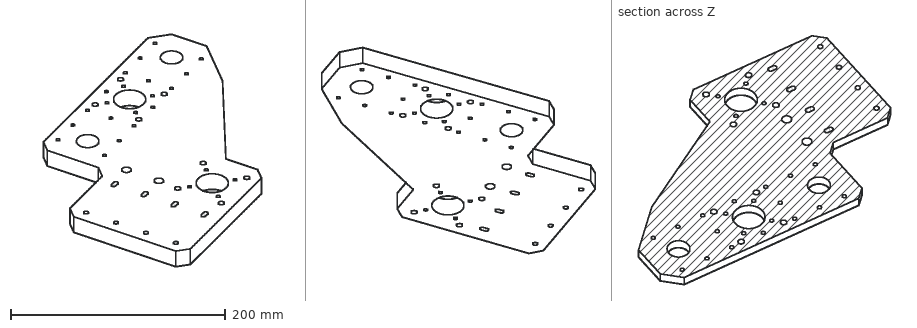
import cadquery as cq

SIDES = (-1, 1)

length_x = 205.0
length_y = 300.0
thickness = 18.0

corner_chamfer = 10.0
top_left_chamfer = 16.1
arm_left_x = 75.0
step_y = 80.0
shoulder_y = 152.0
shoulder_x = 160.9
top_edge_right_x = 54.0
top_right_chamfer = 41.2

left_center = (35.0, 189.7)
bearing_bore_diameter = 21.0
bearing_bore_offset = 77.9

screw_diameter = 3.4
screw_half_spacing_x = 25.0
screw_inner_offset_y = 34.9
screw_pitch_y = 27.5
screw_rows_beyond_motor = 3

right_center = (169.4, left_center[1] - bearing_bore_offset)
motor_bore_diameter = 30.0
motor_inner_pitch = 31.0
motor_inner_diameter = 3.4
motor_outer_pitch = 47.14
motor_outer_diameter = 5.6

pair_diameter = 8.8
pair_first_x = 89.5
pair_count = 2
pair_pitch = 35.0
pair_y = 90.0

mount_count = 4
mount_pitch = 32.3
mount_first_x = (arm_left_x + length_x - (mount_count - 1) * mount_pitch) / 2
mount_diameter = 4.5
mount_hole_y = 11.6
slot_y = 64.7
slot_length = 8.5
slot_angle = 90.0


def make_plate():
    """Stepped plate outline, counterclockwise from the lower left of the arm."""
    c = corner_chamfer
    outline = [
        (arm_left_x + c, 0),
        (length_x - c, 0),
        (length_x, c),
        (length_x, shoulder_y - c),
        (length_x - c, shoulder_y),
        (shoulder_x, shoulder_y),
        (top_edge_right_x + top_right_chamfer, length_y - top_right_chamfer),
        (top_edge_right_x, length_y),
        (top_left_chamfer, length_y),
        (0, length_y - top_left_chamfer),
        (0, step_y + c),
        (c, step_y),
        (arm_left_x - c, step_y),
        (arm_left_x, step_y - c),
        (arm_left_x, c),
    ]
    return cq.Workplane("XY").polyline(outline).close().extrude(thickness)


def drill(points, diameter):
    """Through-hole cutters at the given points."""
    return cq.Workplane("XY").pushPoints(points).circle(diameter / 2).extrude(thickness)


def square_points(center, pitch):
    """Corners of a square of holes around a center."""
    half = pitch / 2
    return [(center[0] + sx * half, center[1] + sy * half) for sx in SIDES for sy in SIDES]


def cut_motor_mount(plate, center):
    plate = plate.cut(drill([center], motor_bore_diameter))
    plate = plate.cut(drill(square_points(center, motor_inner_pitch), motor_inner_diameter))
    return plate.cut(drill(square_points(center, motor_outer_pitch), motor_outer_diameter))


def cut_bearing_bores(plate):
    x, y = left_center
    centers = [(x, y - bearing_bore_offset), (x, y + bearing_bore_offset)]
    return plate.cut(drill(centers, bearing_bore_diameter))


def cut_screw_columns(plate):
    """Two columns of screws level with and beyond the motor, plus one on the centerline at each end."""
    x, y = left_center
    upper = [screw_inner_offset_y + i * screw_pitch_y for i in range(screw_rows_beyond_motor)]
    row_offsets = [0] + upper + [-offset for offset in upper]
    points = [(x + s * screw_half_spacing_x, y + offset) for s in SIDES for offset in row_offsets]
    points += [(x, y + s * screw_inner_offset_y) for s in SIDES]
    return plate.cut(drill(points, screw_diameter))


def cut_hole_pair(plate):
    points = [(pair_first_x + i * pair_pitch, pair_y) for i in range(pair_count)]
    return plate.cut(drill(points, pair_diameter))


def cut_mounting_row(plate):
    xs = [mount_first_x + i * mount_pitch for i in range(mount_count)]
    plate = plate.cut(drill([(x, mount_hole_y) for x in xs], mount_diameter))
    slots = cq.Workplane("XY").pushPoints([(x, slot_y) for x in xs])
    slots = slots.slot2D(slot_length, mount_diameter, slot_angle).extrude(thickness)
    return plate.cut(slots)


result = make_plate()
for mount_center in (left_center, right_center):
    result = cut_motor_mount(result, mount_center)
result = cut_bearing_bores(result)
result = cut_screw_columns(result)
result = cut_hole_pair(result)
result = cut_mounting_row(result)